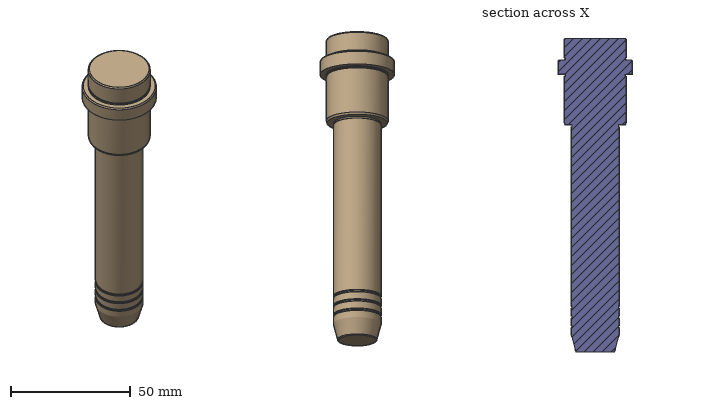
import cadquery as cq

total_length = 131.0
head_radius = 13.0
collar_radius = 31.0 / 2
shank_radius = 20.0 / 2
tip_radius = 8.3

cone_height = 7.1
body_bottom = 94.8
collar_bottom = 116.0
collar_top = 122.0

head_chamfer = 0.5
collar_chamfer = 0.5
tip_chamfer = 0.4
lead_in_height = 0.9
lead_in_depth = 0.4

relief_width = 0.9
relief_depth = 0.4
neck_width = 0.8
neck_depth = 0.3

groove_count = 3
groove_pitch = 4.0
groove_width = 1.0
groove_depth = 0.3
first_groove_bottom = 10.1

groove_wall_run = 0.3


def cylinder(radius, bottom, top):
    return cq.Workplane("XY").workplane(offset=bottom).circle(radius).extrude(top - bottom)


def ring_groove(radius, depth, bottom, width, wall_run=0):
    """Ring that cuts a groove; each wall slants inward by wall_run on its way to the floor."""
    top = bottom + width
    floor_radius = radius - depth
    outline = [
        (radius + depth, bottom),
        (radius, bottom),
        (floor_radius, bottom + wall_run),
        (floor_radius, top - wall_run),
        (radius, top),
        (radius + depth, top),
    ]
    return cq.Workplane("XZ").polyline(outline).close().revolve(360, (0, 0), (0, 1))


def make_shank():
    """Pin with a conical tip, running up to the underside of the body."""
    outline = [
        (0, 0),
        (tip_radius - tip_chamfer, 0),
        (tip_radius, tip_chamfer),
        (shank_radius, cone_height),
        (shank_radius, body_bottom),
        (0, body_bottom),
    ]
    shank = cq.Workplane("XZ").polyline(outline).close().revolve(360, (0, 0), (0, 1))
    for index in range(groove_count):
        bottom = first_groove_bottom + index * groove_pitch
        shank = shank.cut(ring_groove(shank_radius, groove_depth, bottom, groove_width, groove_wall_run))
    neck_bottom = body_bottom - neck_width
    return shank.cut(ring_groove(shank_radius, neck_depth, neck_bottom, neck_width))


def make_body():
    """Thick upper cylinder with a tapered lead-in and a relief each side of the collar."""
    body = cylinder(head_radius, body_bottom, total_length)
    body = body.faces(">Z").chamfer(head_chamfer)
    body = body.faces("<Z").chamfer(lead_in_height, lead_in_depth)
    for bottom in (collar_bottom - relief_width, collar_top):
        body = body.cut(ring_groove(head_radius, relief_depth, bottom, relief_width, groove_wall_run))
    return body


def make_collar():
    collar = cylinder(collar_radius, collar_bottom, collar_top)
    return collar.faces(">Z").edges().chamfer(collar_chamfer)


result = make_shank().union(make_body()).union(make_collar())